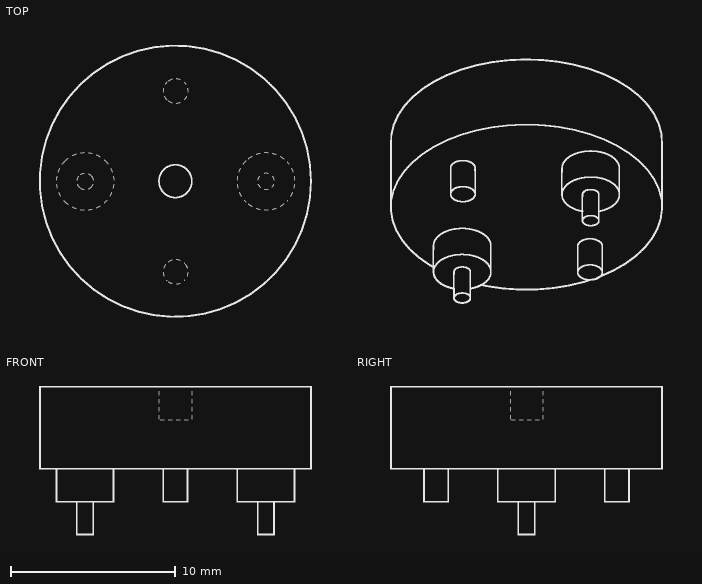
import cadquery as cq

body_diameter = 16.5
body_height = 5.0

hole_diameter = 2.0
hole_depth = 2.0

foot_circle_radius = 5.5
foot_height = 2.0
pin_foot_diameter = 3.5
plain_foot_diameter = 1.5

pin_diameter = 1.0
pin_length = 2.0

overlap = 0.16


def leg(x, y, diameter, reach):
    """Return a round leg ending at the given distance below the body."""
    return (
        cq.Workplane("XY", origin=(x, y, -reach))
        .circle(diameter / 2)
        .extrude(reach + overlap)
    )


body = (
    cq.Workplane("XY")
    .circle(body_diameter / 2)
    .extrude(body_height)
    .faces(">Z")
    .workplane()
    .hole(hole_diameter, hole_depth)
)

result = body
for side in (-1, 1):
    offset = side * foot_circle_radius
    result = result.union(leg(offset, 0, pin_foot_diameter, foot_height))
    result = result.union(leg(offset, 0, pin_diameter, foot_height + pin_length))
    result = result.union(leg(0, offset, plain_foot_diameter, foot_height))